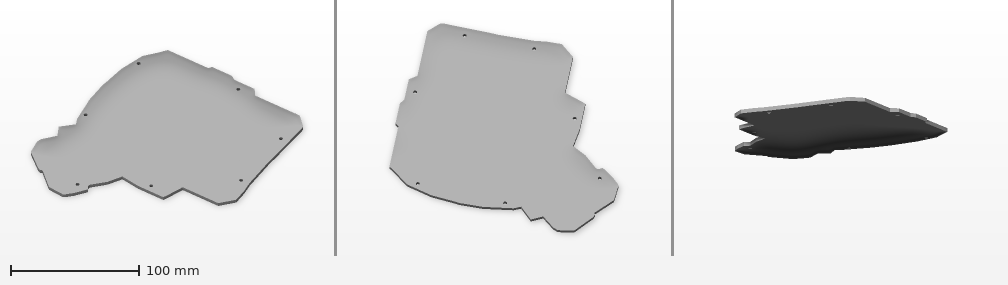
import cadquery as cq

length = 181.5
width = 166.5
thickness = 3.0
hole_diameter = 3.0

upper_edge = 178.7
right_upper_edge = 172.7
right_lower_edge = 56.8
lower_edge = 39.4

left_side = 9.6
right_side = 164.5

top_side = [
    (31.8, upper_edge),
    (69.0, upper_edge),
    (71.0, length),
    (89.3, length),
    (93.3, upper_edge),
    (112.0, upper_edge),
    (116.3, right_upper_edge),
    (157.5, right_upper_edge),
]

right_profile = [
    (166.2, 164.0),
    (width, 160.4),
    (166.2, 154.0),
    (165.1, 125.7),
    (right_side, 117.4),
    (right_side, 88.5),
    (165.7, 79.3),
    (165.7, 67.5),
]

bottom_side = [
    (155.9, right_lower_edge),
    (123.0, right_lower_edge),
    (117.4, 42.1),
    (116.1, lower_edge),
    (92.7, lower_edge),
    (77.0, 41.5),
    (70.4, 30.5),
    (60.2, 20.0),
]

thumb_lobe = [
    (60.0, 18.0),
    (61.9, 15.0),
    (55.0, 6.0),
    (50.0, 1.0),
    (48.5, 0.0),
    (34.8, 1.0),
    (20.7, 14.0),
    (19.0, 13.0),
    (16.7, 14.2),
    (2.0, 26.3),
    (0.0, 38.8),
    (1.5, 42.6),
    (10.0, 52.5),
    (5.5, 61.5),
    (15.5, 71.0),
]

left_profile = [
    (12.9, 76.5),
    (10.3, 95.0),
    (left_side, 99.5),
    (left_side, 118.7),
    (10.3, 123.5),
    (12.3, 141.5),
    (13.6, 145.9),
    (18.5, 162.4),
    (27.2, 172.7),
]

hole_centers = [
    (101.5, 171.6),
    (20.5, 154.0),
    (158.8, 143.3),
    (16.1, 83.8),
    (157.3, 87.8),
    (101.5, 45.0),
    (52.0, 15.6),
]

outline = top_side + right_profile + bottom_side + thumb_lobe + left_profile
plate = cq.Workplane("XY").polyline(outline).close().extrude(thickness)

holes = (
    cq.Workplane("XY")
    .pushPoints(hole_centers)
    .circle(hole_diameter / 2)
    .extrude(thickness)
)

result = plate.cut(holes)